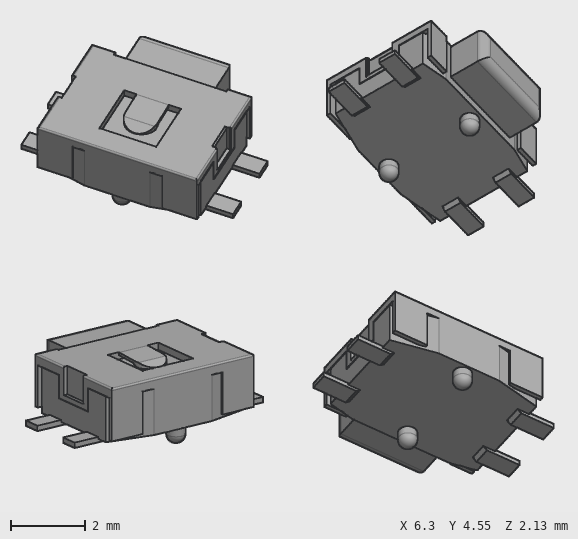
import cadquery as cq

COVER_LENGTH = 4.75
COVER_DEPTH = 3.515
COVER_TOP = 1.625
COVER_BOTTOM = 0.115
WALL = 0.12
TOP_EDGE_RADIUS = 0.05
COVER_FRONT = -COVER_DEPTH / 2
COVER_BACK = COVER_DEPTH / 2
COVER_SIDE = COVER_LENGTH / 2
CEILING = COVER_TOP - WALL

WINDOW_TOP = 1.32
FRONT_WINDOW_WIDTH = 2.67
BACK_OPENING_WIDTH = 3.35
SIDE_TAB_WIDTH = 1.33
SIDE_TAB_BOTTOM = 0.655
NOTCH_WIDTH = 0.89
NOTCH_BOTTOM = 0.81
RELIEF_DEPTH = 0.045
RIGHT_NOTCH_WIDTH = 0.82
RIGHT_NOTCH_CHAMFER = 0.05

BASE_LENGTH = 4.72
BASE_FLAT_WIDTH = 1.945
BASE_SETBACK = 0.29
BASE_BACK = COVER_BACK - WALL

POCKET_WIDTH = 1.69
POCKET_BACK = 0.52
POCKET_FRONT = -1.07
POCKET_DEPTH = 0.21
POCKET_FLOOR = COVER_TOP - POCKET_DEPTH
TONGUE_WIDTH = 0.965
TONGUE_THICKNESS = 0.08
TONGUE_BEND = -0.335
TONGUE_TIP = -0.675
TONGUE_BEND_DROP = 0.05
TONGUE_TIP_DROP = 0.18
TONGUE_UNDERSIDE_BEND = -0.125
TONGUE_UNDERSIDE_DROP = 0.115
TONGUE_FLOOR_CONTACT = -0.3

BUTTON_WIDTH = 2.67
BUTTON_TOP = 1.57
BUTTON_BOTTOM = 0.3
BUTTON_END = 2.79
BUTTON_EDGE_RADIUS = 0.25

LEG_TIP = 3.15
LEG_WIDTH = 0.53
LEG_OFFSET = 0.85
LEG_TOP = 0.055
LEG_BOTTOM = -0.1
LEG_BEND_START = 2.105
LEG_BEND_END = 1.915

PIN_DIAMETER = 0.535
PIN_LENGTH = 0.505
PIN_FRONT = -1.435
PIN_BACK = 1.285


def block(x_range, y_range, z_range):
    """Box spanning the given (low, high) ranges."""
    size = [high - low for low, high in (x_range, y_range, z_range)]
    corner = (x_range[0], y_range[0], z_range[0])
    return cq.Workplane("XY").box(*size, centered=False).translate(corner)


def centred(width):
    """Range of the given width about zero."""
    return (-width / 2, width / 2)


def side_extrusion(points, width):
    """Extrude a (y, z) outline symmetrically in X."""
    return cq.Workplane("YZ").polyline(points).close().extrude(width / 2, both=True)


def end_extrusion(points, width):
    """Extrude an (x, z) outline symmetrically in Y."""
    return cq.Workplane("XZ").polyline(points).close().extrude(width / 2, both=True)


def make_cover():
    cover = block(centred(COVER_LENGTH), centred(COVER_DEPTH), (COVER_BOTTOM, COVER_TOP))
    cover = cover.faces(">Z").edges().fillet(TOP_EDGE_RADIUS)
    inner_x = centred(COVER_LENGTH - 2 * WALL)
    inner_y = centred(COVER_DEPTH - 2 * WALL)
    cover = cover.cut(block(inner_x, inner_y, (COVER_BOTTOM, CEILING)))

    front_wall = (COVER_FRONT, COVER_FRONT + WALL)
    back_wall = (COVER_BACK - WALL, COVER_BACK)
    cover = cover.cut(block(centred(FRONT_WINDOW_WIDTH), front_wall, (COVER_BOTTOM, WINDOW_TOP)))
    cover = cover.cut(block(centred(BACK_OPENING_WIDTH), back_wall, (COVER_BOTTOM, COVER_TOP)))

    side_windows = block(centred(COVER_LENGTH), inner_y, (COVER_BOTTOM, WINDOW_TOP))
    side_tabs = block(centred(COVER_LENGTH), centred(SIDE_TAB_WIDTH), (SIDE_TAB_BOTTOM, WINDOW_TOP))
    return cover.cut(side_windows.cut(side_tabs))


def make_base():
    end_x = BASE_LENGTH / 2
    flat_x = BASE_FLAT_WIDTH / 2
    end_front = COVER_FRONT + BASE_SETBACK
    outline = [
        (-flat_x, COVER_FRONT),
        (flat_x, COVER_FRONT),
        (end_x, end_front),
        (end_x, -end_front),
        (flat_x, COVER_BACK),
        (-flat_x, COVER_BACK),
        (-end_x, -end_front),
        (-end_x, end_front),
    ]
    base = cq.Workplane("XY").polyline(outline).close().extrude(CEILING)
    return base.cut(block(centred(BASE_LENGTH), (BASE_BACK, COVER_BACK), (0, CEILING)))


def make_side_notches():
    """Cutters for the notches in the top of the two side walls."""
    heights = (NOTCH_BOTTOM, COVER_TOP)
    left_notch = block((-COVER_SIDE, -COVER_SIDE + WALL), centred(NOTCH_WIDTH), heights)
    right_relief = block((COVER_SIDE - RELIEF_DEPTH, COVER_SIDE), centred(NOTCH_WIDTH), heights)
    right_outline = [
        (COVER_SIDE, NOTCH_BOTTOM),
        (COVER_SIDE, COVER_TOP),
        (COVER_SIDE - WALL - RIGHT_NOTCH_CHAMFER, COVER_TOP),
        (COVER_SIDE - WALL, COVER_TOP - RIGHT_NOTCH_CHAMFER),
        (COVER_SIDE - WALL, NOTCH_BOTTOM),
    ]
    right_notch = end_extrusion(right_outline, RIGHT_NOTCH_WIDTH)
    return left_notch.union(right_relief).union(right_notch)


def make_tongue():
    """Tongue sloping gently down from the pocket's back wall, then bent to rest on the floor."""
    profile = [
        (POCKET_BACK, COVER_TOP),
        (TONGUE_BEND, COVER_TOP - TONGUE_BEND_DROP),
        (TONGUE_TIP, COVER_TOP - TONGUE_TIP_DROP),
        (TONGUE_TIP, POCKET_FLOOR),
        (TONGUE_FLOOR_CONTACT, POCKET_FLOOR),
        (TONGUE_UNDERSIDE_BEND, COVER_TOP - TONGUE_UNDERSIDE_DROP),
        (POCKET_BACK, COVER_TOP - TONGUE_THICKNESS),
    ]
    strip = side_extrusion(profile, TONGUE_WIDTH)

    radius = TONGUE_WIDTH / 2
    round_start = TONGUE_TIP + radius
    plan = (
        cq.Workplane("XY")
        .moveTo(radius, POCKET_BACK)
        .lineTo(radius, round_start)
        .threePointArc((0, TONGUE_TIP), (-radius, round_start))
        .lineTo(-radius, POCKET_BACK)
        .close()
        .extrude(COVER_TOP)
    )
    return strip.intersect(plan)


def make_button():
    button = block(centred(BUTTON_WIDTH), (0, BUTTON_END), (BUTTON_BOTTOM, BUTTON_TOP))
    button = button.faces(">Y").edges().fillet(BUTTON_EDGE_RADIUS)
    return button.intersect(block(centred(BUTTON_WIDTH), (BASE_BACK, BUTTON_END), (0, COVER_TOP)))


def make_leg(side, y_centre):
    """Flat leg whose inner end slopes up into the base; side is -1 or +1."""
    outline = [
        (side * LEG_TIP, LEG_TOP),
        (side * LEG_TIP, LEG_BOTTOM),
        (side * LEG_BEND_START, LEG_BOTTOM),
        (side * LEG_BEND_END, LEG_TOP),
    ]
    return end_extrusion(outline, LEG_WIDTH).translate((0, y_centre, 0))


def make_pin(y_centre):
    """Round pin with a hemispherical tip."""
    radius = PIN_DIAMETER / 2
    shank_length = PIN_LENGTH - radius
    shank = cq.Workplane("XY").circle(radius).extrude(-shank_length)
    tip = cq.Workplane("XY").sphere(radius).translate((0, 0, -shank_length))
    lower_half = block(centred(PIN_DIAMETER), centred(PIN_DIAMETER), (-PIN_LENGTH, -shank_length))
    return shank.union(tip.intersect(lower_half)).translate((0, y_centre, 0))


pocket = block(centred(POCKET_WIDTH), (POCKET_FRONT, POCKET_BACK), (POCKET_FLOOR, COVER_TOP))

body = make_base().union(make_cover())
body = body.cut(make_side_notches()).cut(pocket)
body = body.union(make_tongue()).union(make_button())
for side in (-1, 1):
    for y_centre in (-LEG_OFFSET, LEG_OFFSET):
        body = body.union(make_leg(side, y_centre))
for y_centre in (PIN_FRONT, PIN_BACK):
    body = body.union(make_pin(y_centre))

result = body.clean()